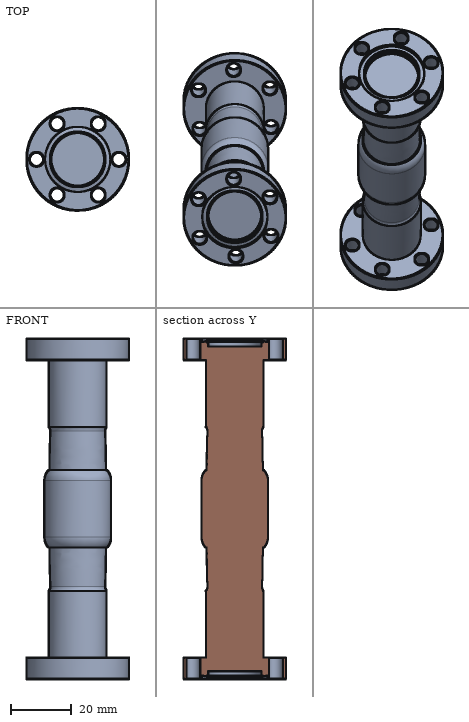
import cadquery as cq
import math

overall_length = 111.81
half_length = overall_length / 2

flange_diameter = 33.78
flange_thickness = 7.2
flange_chamfer = 0.25

bolt_count = 6
bolt_circle_diameter = 27.0
bolt_hole_diameter = 4.37
bolt_hole_chamfer = 0.25

recess_diameter = 21.39
knife_edge_diameter = 18.29
bore_diameter = 17.27
recess_depth = 1.2
knife_edge_depth = 0.7
bore_depth = 2.6

tube_diameter = 19.05
shoulder_start_z = 26.9
shoulder_end_z = 25.5

neck_small_diameter = 18.1
neck_large_diameter = 18.6

collar_diameter = 22.0
collar_end_diameter = 19.3
collar_half_length = 12.7
collar_straight_half_length = 9.3


def arc_midpoint(start, end):
    """Middle point of the arc from start to end that leaves start parallel to the axis."""
    offset = end[0] - start[0]
    rise = end[1] - start[1]
    radius = (offset**2 + rise**2) / (2 * abs(offset))
    half_angle = math.asin(abs(rise) / radius) / 2
    return (
        start[0] + math.copysign(radius * (1 - math.cos(half_angle)), offset),
        start[1] + math.copysign(radius * math.sin(half_angle), rise),
    )


def make_upper_end():
    """Everything above the straight part of the collar, turned in one profile of (radius, z)."""
    collar_side = (collar_diameter / 2, collar_straight_half_length)
    collar_end = (collar_end_diameter / 2, collar_half_length)
    neck_bottom = (neck_large_diameter / 2, collar_half_length)
    neck_top = (neck_small_diameter / 2, shoulder_end_z)
    tube_bottom = (tube_diameter / 2, shoulder_start_z)

    flange_back_z = half_length - flange_thickness
    rim_radius = flange_diameter / 2
    chamfered_radius = rim_radius - flange_chamfer
    knife_edge_radius = knife_edge_diameter / 2
    recess_floor_z = half_length - recess_depth
    bore_floor_z = half_length - bore_depth

    profile = (
        cq.Workplane("XZ")
        .moveTo(0, collar_straight_half_length)
        .lineTo(*collar_side)
        .threePointArc(arc_midpoint(collar_side, collar_end), collar_end)
        .lineTo(*neck_bottom)
        .threePointArc(arc_midpoint(neck_bottom, neck_top), neck_top)
        .threePointArc(arc_midpoint(neck_top, tube_bottom), tube_bottom)
        .lineTo(tube_diameter / 2, flange_back_z)
        .lineTo(chamfered_radius, flange_back_z)
        .lineTo(rim_radius, flange_back_z + flange_chamfer)
        .lineTo(rim_radius, half_length - flange_chamfer)
        .lineTo(chamfered_radius, half_length)
        .lineTo(recess_diameter / 2, half_length)
        .lineTo(recess_diameter / 2, recess_floor_z)
        .lineTo(knife_edge_radius, half_length - knife_edge_depth)
        .lineTo(knife_edge_radius, recess_floor_z)
        .lineTo(bore_diameter / 2, recess_floor_z)
        .lineTo(bore_diameter / 2, bore_floor_z)
        .lineTo(0, bore_floor_z)
        .close()
    )
    return profile.revolve(360, (0, 0), (0, 1))


def make_bolt_hole_cutters():
    """Six through holes for the upper flange, chamfered at both faces."""
    hole_radius = bolt_hole_diameter / 2
    mouth_radius = hole_radius + bolt_hole_chamfer
    back_z = half_length - flange_thickness
    cutter = (
        cq.Workplane("XZ")
        .moveTo(0, back_z)
        .lineTo(mouth_radius, back_z)
        .lineTo(hole_radius, back_z + bolt_hole_chamfer)
        .lineTo(hole_radius, half_length - bolt_hole_chamfer)
        .lineTo(mouth_radius, half_length)
        .lineTo(0, half_length)
        .close()
        .revolve(360, (0, 0), (0, 1))
        .val()
    )
    return (
        cq.Workplane("XY")
        .polarArray(bolt_circle_diameter / 2, 0, 360, bolt_count)
        .eachpoint(lambda location: cutter.moved(location))
    )


def make_collar_middle():
    return (
        cq.Workplane("XY", origin=(0, 0, -collar_straight_half_length))
        .circle(collar_diameter / 2)
        .extrude(2 * collar_straight_half_length)
    )


upper_end = make_upper_end().cut(make_bolt_hole_cutters())
lower_end = upper_end.mirror("XY")
result = make_collar_middle().union(upper_end).union(lower_end)